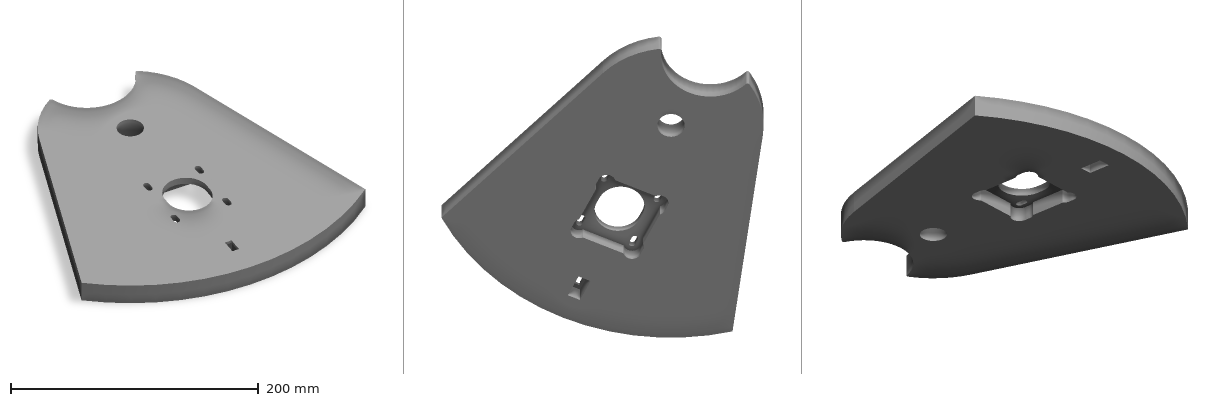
import cadquery as cq
import math

thickness = 18.0
overall_width = 260.0
outer_radius = 206.0
inner_radius = 75.0
notch_radius = 40.0
tip_fillet = 2.0

pivot_diameter = 22.0

motor_x = 98.0
motor_travel = 5.0
shaft_opening_width = 38.3
bolt_spacing = 47.1
bolt_slot_width = 5.5

mount_thickness = 6.2
pocket_length = 61.5
pocket_width = 57.0
bolt_relief_width = 14.3

window_x = 174.5
window_length = 12.7
window_width = 6.0
corner_relief_radius = 1.0

window_lip = 2.7
window_pocket_length = 20.2
window_pocket_width = 10.8


def polar(radius, angle):
    return (radius * math.cos(angle), radius * math.sin(angle))


def mirrored(point):
    return (point[0], -point[1])


def sector_plate():
    corner_angle = math.asin(overall_width / 2 / outer_radius)
    tangent_angle = corner_angle + math.acos(inner_radius / outer_radius)
    corner = polar(outer_radius, corner_angle)
    tangent_point = polar(inner_radius, tangent_angle)
    return (
        cq.Workplane("XY")
        .moveTo(*mirrored(corner))
        .threePointArc((outer_radius, 0), corner)
        .lineTo(*tangent_point)
        .threePointArc((-inner_radius, 0), mirrored(tangent_point))
        .close()
        .extrude(thickness)
    )


def cylinder(x, radius):
    return cq.Workplane("XY").center(x, 0).circle(radius).extrude(thickness)


def block(x, length, width, height):
    return cq.Workplane("XY").center(x, 0).rect(length, width).extrude(height)


def motor_slots(points, width, height):
    return (
        cq.Workplane("XY")
        .center(motor_x, 0)
        .pushPoints(points)
        .slot2D(width + motor_travel, width)
        .extrude(height)
    )


def motor_mount():
    half_spacing = bolt_spacing / 2
    bolt_points = [(x, y) for x in (-half_spacing, half_spacing) for y in (-half_spacing, half_spacing)]
    pocket_depth = thickness - mount_thickness
    return (
        block(motor_x, pocket_length, pocket_width, pocket_depth)
        .union(motor_slots(bolt_points, bolt_relief_width, pocket_depth))
        .union(motor_slots(bolt_points, bolt_slot_width, thickness))
        .union(motor_slots([(0, 0)], shaft_opening_width, thickness))
    )


def window():
    relief_inset = corner_relief_radius / math.sqrt(2)
    corner_reliefs = (
        cq.Workplane("XY")
        .center(window_x, 0)
        .rect(window_length - 2 * relief_inset, window_width - 2 * relief_inset, forConstruction=True)
        .vertices()
        .circle(corner_relief_radius)
        .extrude(thickness)
    )
    return (
        block(window_x, window_length, window_width, thickness)
        .union(corner_reliefs)
        .union(block(window_x, window_pocket_length, window_pocket_width, thickness - window_lip))
    )


plate = sector_plate().cut(cylinder(-inner_radius, notch_radius))
plate = plate.edges("|Z").edges("<X").fillet(tip_fillet)

result = plate.cut(cylinder(0, pivot_diameter / 2)).cut(motor_mount()).cut(window())